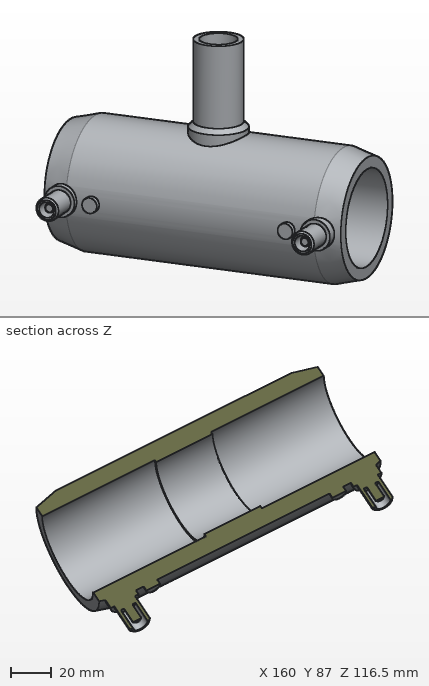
import cadquery as cq

length = 160.0
body_dia = 69.0
end_dia = 62.0
taper_length = 13.1
socket_dia = 50.0
stop_dia = 47.0
stop_length = 32.0

height = 116.5
branch_top = height - body_dia / 2
branch_dia = 25.0
branch_bore_dia = 19.0
collar_dia = 30.0
collar_top = 39.7
collar_chamfer = (collar_dia - branch_dia) / 2

depth = 87.0
terminal_reach = depth - body_dia / 2
terminal_x = 69.0
terminal_dia = 12.0
terminal_chamfer = 1.0
flange_dia = 16.0
flange_reach = 37.1
terminal_bore_dia = 8.0
terminal_bore_depth = 12.0
contact_dia = 5.0
contact_chamfer = 0.5
contact_recess = 3.0
pad_x = 52.8
pad_dia = 8.0
pad_reach = 37.3

root = (body_dia + socket_dia) / 4


def make_body():
    """Solid tube blank with a conical taper at both ends."""
    half = length / 2
    shoulder = half - taper_length
    return (
        cq.Workplane("XY")
        .moveTo(-half, 0)
        .lineTo(-half, end_dia / 2)
        .lineTo(-shoulder, body_dia / 2)
        .lineTo(shoulder, body_dia / 2)
        .lineTo(half, end_dia / 2)
        .lineTo(half, 0)
        .close()
        .revolve(360, (0, 0, 0), (1, 0, 0))
    )


def make_branch():
    """Branch pipe with a chamfered collar at its foot."""
    pipe = cq.Workplane("XY").circle(branch_dia / 2).extrude(branch_top)
    collar = (
        cq.Workplane("XY")
        .circle(collar_dia / 2)
        .extrude(collar_top)
        .faces(">Z")
        .chamfer(collar_chamfer)
    )
    return pipe.union(collar)


def side_cylinder(x, diameter, start, end):
    """Cylinder along -Y between two distances from the tube axis."""
    return cq.Workplane("XZ", origin=(x, -start, 0)).circle(diameter / 2).extrude(end - start)


def make_terminal(x):
    """Flanged shroud around a recessed central contact pin."""
    bore_floor = terminal_reach - terminal_bore_depth
    flange = side_cylinder(x, flange_dia, root, flange_reach)
    shroud = side_cylinder(x, terminal_dia, root, terminal_reach).faces("<Y").chamfer(terminal_chamfer)
    bore = side_cylinder(x, terminal_bore_dia, bore_floor, terminal_reach)
    contact = side_cylinder(x, contact_dia, root, terminal_reach - contact_recess)
    contact = contact.faces("<Y").chamfer(contact_chamfer)
    return flange.union(shroud).cut(bore).union(contact)


def make_bore():
    """Pipe sockets from both ends, parted by a narrower stop in the middle."""
    socket_length = (length - stop_length) / 2
    bore = cq.Workplane("YZ").circle(stop_dia / 2).extrude(length / 2, both=True)
    for start in (-length / 2, stop_length / 2):
        socket = cq.Workplane("YZ", origin=(start, 0, 0)).circle(socket_dia / 2).extrude(socket_length)
        bore = bore.union(socket)
    return bore


result = make_body().union(make_branch())
for side in (-1, 1):
    result = result.union(make_terminal(side * terminal_x))
    result = result.union(side_cylinder(side * pad_x, pad_dia, root, pad_reach))

branch_bore = cq.Workplane("XY").circle(branch_bore_dia / 2).extrude(branch_top)
result = result.cut(make_bore()).cut(branch_bore)